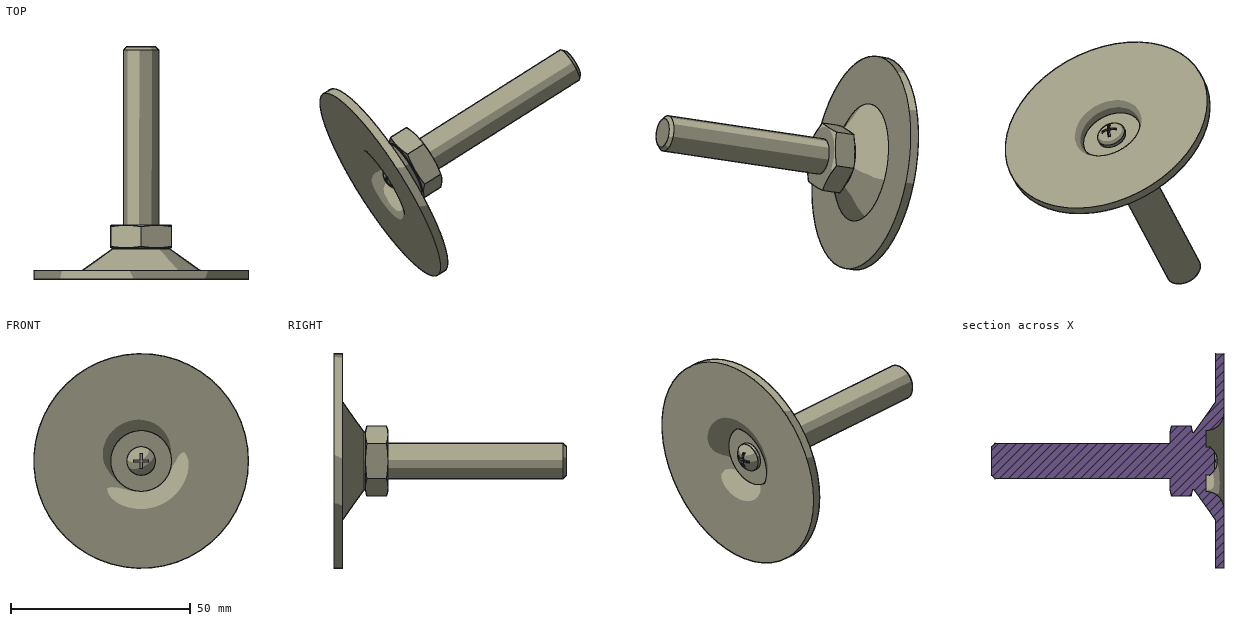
import cadquery as cq
import math

total_length = 65.0
foot_diameter = 60.0
flange_thickness = 2.5

cone_base_diameter = 33.0
cone_top_diameter = 16.2
cone_top_y = 8.45

nut_bottom_y = 8.8
nut_thickness = 6.4
nut_across_flats = 17.0
nut_face_diameter = 16.5
nut_chamfer_height = 0.45

rod_diameter = 10.0
rod_chamfer = 1.0

recess_diameter = 16.95
recess_lip_radius = 5.0
recess_depth = recess_lip_radius

head_diameter = 8.0
head_rim_height = 1.0
head_height = 3.1
cross_length = 4.15
cross_width = 0.65
cross_depth = 0.8


def revolve_y(profile):
    """Revolve an open XY profile, closed along the Y axis."""
    return profile.close().revolve(360, (0, 0, 0), (0, 1, 0))


def make_foot():
    """Flange, cone and short neck in one turned profile."""
    profile = (
        cq.Workplane("XY")
        .lineTo(foot_diameter / 2, 0)
        .lineTo(foot_diameter / 2, flange_thickness)
        .lineTo(cone_base_diameter / 2, flange_thickness)
        .lineTo(cone_top_diameter / 2, cone_top_y)
        .lineTo(cone_top_diameter / 2, nut_bottom_y)
        .lineTo(0, nut_bottom_y)
    )
    return revolve_y(profile)


def make_nut():
    """Hexagon whose corners are trimmed by a cone at each end."""
    across_corners = nut_across_flats / math.cos(math.pi / 6)
    nut_top_y = nut_bottom_y + nut_thickness
    hexagon = (
        cq.Workplane("XZ", origin=(0, nut_bottom_y, 0))
        .transformed(rotate=(0, 0, 90))
        .polygon(6, across_corners)
        .extrude(-nut_thickness)
    )
    envelope = (
        cq.Workplane("XY")
        .moveTo(0, nut_bottom_y)
        .lineTo(nut_face_diameter / 2, nut_bottom_y)
        .lineTo(across_corners / 2, nut_bottom_y + nut_chamfer_height)
        .lineTo(across_corners / 2, nut_top_y - nut_chamfer_height)
        .lineTo(nut_face_diameter / 2, nut_top_y)
        .lineTo(0, nut_top_y)
    )
    return hexagon.intersect(revolve_y(envelope))


def make_rod():
    """Rod with a chamfered free end."""
    start = cq.Workplane("XZ", origin=(0, nut_bottom_y, 0))
    rod = start.circle(rod_diameter / 2).extrude(nut_bottom_y - total_length)
    return rod.faces(">Y").chamfer(rod_chamfer)


def make_recess():
    """Recess volume whose mouth flares out tangent to the contact face."""
    radius = recess_diameter / 2
    middle = recess_lip_radius * (1 - math.sqrt(0.5))
    profile = (
        cq.Workplane("XY")
        .lineTo(radius + recess_lip_radius, 0)
        .threePointArc((radius + middle, middle), (radius, recess_depth))
        .lineTo(0, recess_depth)
    )
    return revolve_y(profile)


def make_screw_head():
    """Domed head with a cross-shaped drive slot."""
    radius = head_diameter / 2
    rim_y = recess_depth - head_rim_height
    crown_y = recess_depth - head_height
    dome_height = rim_y - crown_y
    dome_radius = (radius**2 + dome_height**2) / (2 * dome_height)
    half_angle = math.asin(radius / dome_radius) / 2
    dome_middle = (
        dome_radius * math.sin(half_angle),
        crown_y + dome_radius * (1 - math.cos(half_angle)),
    )
    profile = (
        cq.Workplane("XY")
        .moveTo(0, recess_depth)
        .lineTo(radius, recess_depth)
        .lineTo(radius, rim_y)
        .threePointArc(dome_middle, (0, crown_y))
    )
    head = revolve_y(profile)
    for angle in (0, 90):
        slot = (
            cq.Workplane("XZ", origin=(0, crown_y, 0))
            .transformed(rotate=(0, 0, angle))
            .rect(cross_length, cross_width)
            .extrude(-cross_depth)
        )
        head = head.cut(slot)
    return head


result = make_foot().union(make_nut()).union(make_rod())
result = result.cut(make_recess()).union(make_screw_head())